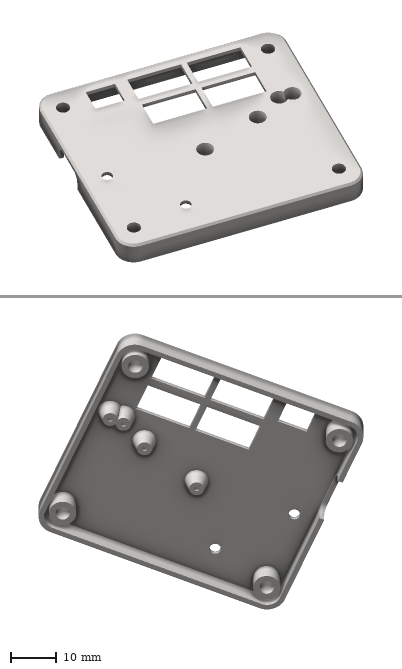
import cadquery as cq

LENGTH_X = 52.1
LENGTH_Y = 58.75
HEIGHT = 5.3
CORNER_RADIUS = 4.3
TOP_CHAMFER = 0.5
WALL = 1.2
PLATE = 1.0
PLATE_UNDERSIDE = HEIGHT - PLATE

SCREW_X = 20.55
SCREW_Y = 24.5
SCREW_POINTS = [(sx * SCREW_X, sy * SCREW_Y) for sx in (-1, 1) for sy in (-1, 1)]
BOSS_DIAMETER = 6.0
SCREW_DIAMETER = 3.2

WINDOW_X = 6.6
WINDOW_Y = 12.85
WINDOW_COLUMNS = (-20.05, -11.5)
WINDOW_ROWS = (12.65, -1.6)
SMALL_WINDOW_X = 5.65
SMALL_WINDOW_Y = 7.0
SMALL_WINDOW_CENTER = (-20.35, -14.5)

PIN_DIAMETER = 2.5
PIN_POINTS = [(18.15, -11.1), (3.2, -23.75)]

FUNNEL_POINTS = [(-5.4, 24.1), (-5.4, 20.9), (-1.4, 14.15), (3.6, -0.45)]
FUNNEL_BOTTOM = 0.75
FUNNEL_TOP_DIAMETER = 4.0
FUNNEL_BOTTOM_DIAMETER = 1.2
FUNNEL_OUTER_TOP_DIAMETER = 6.0
FUNNEL_OUTER_BOTTOM_DIAMETER = 3.3

NOTCH_CENTER_X = -5.7
NOTCH_WIDTH = 10.4
NOTCH_HEIGHT = 3.8
NOTCH_RADIUS = 2.0


def rounded_block(size_x, size_y, height, radius):
    """Block standing on Z = 0 with rounded vertical edges."""
    block = cq.Workplane("XY").box(size_x, size_y, height, centered=(True, True, False))
    return block.edges("|Z").fillet(radius)


def cylinders(points, diameter, height):
    """Vertical cylinders standing on Z = 0."""
    return cq.Workplane("XY").pushPoints(points).circle(diameter / 2).extrude(height)


def windows(centers, size_x, size_y):
    """Rectangular cutters through the full height."""
    return cq.Workplane("XY").pushPoints(centers).rect(size_x, size_y).extrude(HEIGHT)


def funnel_cone(point, bottom_diameter, top_diameter):
    """Cone from the funnel tip up to the top face."""
    cone = cq.Solid.makeCone(
        bottom_diameter / 2,
        top_diameter / 2,
        HEIGHT - FUNNEL_BOTTOM,
        pnt=cq.Vector(*point, FUNNEL_BOTTOM),
    )
    return cq.Workplane(obj=cone)


def cable_notch():
    """Cutter through the -Y wall, open at the bottom, with rounded upper corners."""
    block = cq.Workplane("XY").box(NOTCH_WIDTH, WALL, NOTCH_HEIGHT, centered=(True, False, False))
    block = block.edges("|Y and >Z").fillet(NOTCH_RADIUS)
    return block.translate((NOTCH_CENTER_X, -LENGTH_Y / 2, 0))


cover = rounded_block(LENGTH_X, LENGTH_Y, HEIGHT, CORNER_RADIUS).faces(">Z").chamfer(TOP_CHAMFER)
cavity = rounded_block(
    LENGTH_X - 2 * WALL, LENGTH_Y - 2 * WALL, PLATE_UNDERSIDE, CORNER_RADIUS - WALL
)
cover = cover.cut(cavity).cut(cable_notch())

cover = cover.union(cylinders(SCREW_POINTS, BOSS_DIAMETER, HEIGHT))
for funnel_point in FUNNEL_POINTS:
    cover = cover.union(
        funnel_cone(funnel_point, FUNNEL_OUTER_BOTTOM_DIAMETER, FUNNEL_OUTER_TOP_DIAMETER)
    )

window_centers = [(x, y) for x in WINDOW_COLUMNS for y in WINDOW_ROWS]
cover = cover.cut(windows(window_centers, WINDOW_X, WINDOW_Y))
cover = cover.cut(windows([SMALL_WINDOW_CENTER], SMALL_WINDOW_X, SMALL_WINDOW_Y))
cover = cover.cut(cylinders(SCREW_POINTS, SCREW_DIAMETER, HEIGHT))
cover = cover.cut(cylinders(PIN_POINTS, PIN_DIAMETER, HEIGHT))
for funnel_point in FUNNEL_POINTS:
    cover = cover.cut(funnel_cone(funnel_point, FUNNEL_BOTTOM_DIAMETER, FUNNEL_TOP_DIAMETER))

result = cover